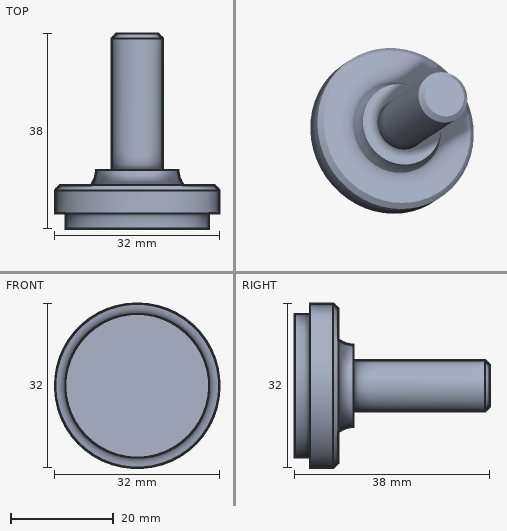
import cadquery as cq
import math


overall_length = 38.0
pad_radius = 14.0
pad_thickness = 3.0
flange_radius = 16.0
flange_thickness = 5.5
neck_tip_radius = 8.0
neck_length = 3.0
neck_flare_radius = 5.0
stud_radius = 5.0
edge_chamfer = 1.0

flange_start = pad_thickness
flange_end = flange_start + flange_thickness
neck_end = flange_end + neck_length

flare_centre = neck_tip_radius + neck_flare_radius


def neck_radius(distance_from_tip):
    """Radius of the neck at a distance from its tip, measured toward the flange."""
    return flare_centre - math.sqrt(neck_flare_radius**2 - distance_from_tip**2)


half_section = (
    cq.Workplane("YZ")
    .moveTo(0, 0)
    .lineTo(0, pad_radius)
    .lineTo(flange_start, pad_radius)
    .lineTo(flange_start, flange_radius)
    .lineTo(flange_end - edge_chamfer, flange_radius)
    .lineTo(flange_end, flange_radius - edge_chamfer)
    .lineTo(flange_end, neck_radius(neck_length))
    .threePointArc(
        (neck_end - neck_length / 2, neck_radius(neck_length / 2)),
        (neck_end, neck_tip_radius),
    )
    .lineTo(neck_end, stud_radius)
    .lineTo(overall_length - edge_chamfer, stud_radius)
    .lineTo(overall_length, stud_radius - edge_chamfer)
    .lineTo(overall_length, 0)
    .close()
)

result = half_section.revolve(360, (0, 0, 0), (1, 0, 0))